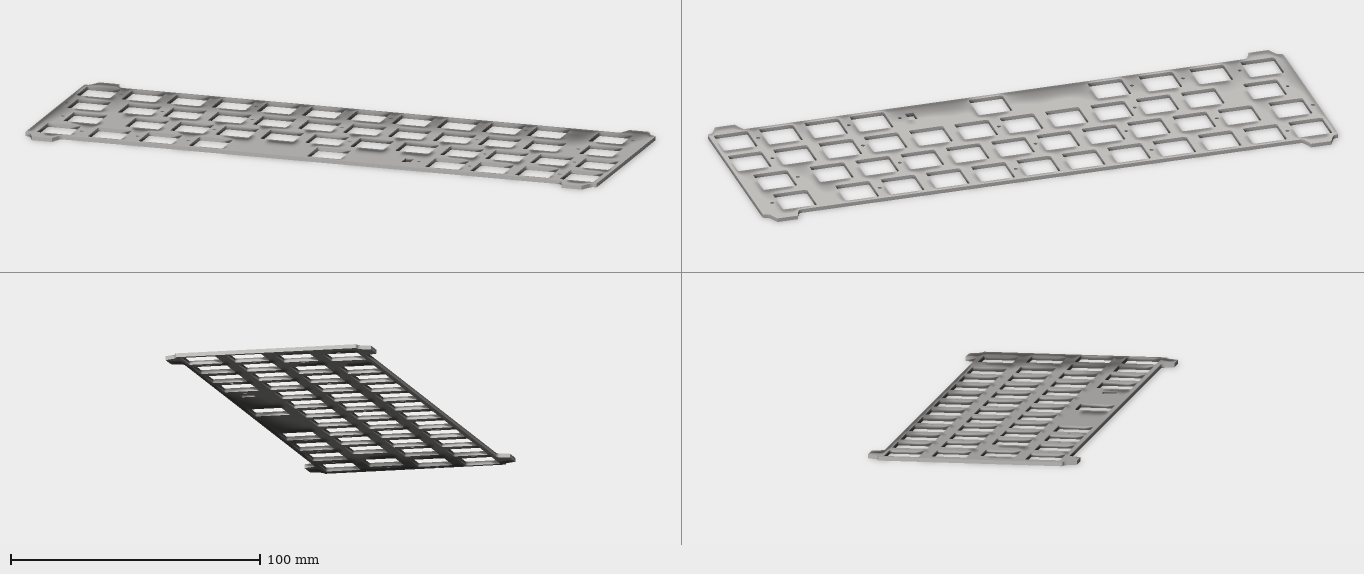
import cadquery as cq

PLATE_LENGTH = 241.8
OVERALL_WIDTH = 85.1
BODY_WIDTH = 75.2
THICKNESS = 1.6
CORNER_RADIUS = 0.7

TAB_TOP_OUTER = 4.5
TAB_TOP_LENGTH = 8.5
TAB_OUTER_FLARE = 2.5
TAB_INNER_FLARE = 2.0
TAB_BASE_RADIUS = 2.0

TEN_KEY_SPAN = 190.3
KEY_PITCH = TEN_KEY_SPAN / 10
STEPS_PER_KEY = 8
GRID_STEP = KEY_PITCH / STEPS_PER_KEY
KEY_CUTOUT = 14.3
KEY_CORNER_RADIUS = 0.7

HOLE_DIAMETER = 1.6

SLOT_LENGTH = 3.6
SLOT_WIDTH = 5.8

ROW_WIDTHS = [
    [STEPS_PER_KEY] * 11 + [14],
    [10] + [STEPS_PER_KEY] * 10 + [12],
    [14] + [STEPS_PER_KEY] * 11,
    [10, STEPS_PER_KEY, 10, STEPS_PER_KEY, 34] + [STEPS_PER_KEY] * 4,
]
ROW_COUNT = len(ROW_WIDTHS)
ROW_LENGTH = sum(ROW_WIDTHS[0])

ROW_HOLES = [
    [8, 32, 56, 80, 99],
    [1, 18, 34, 50, 74, 92],
    [3, 30, 54, 78, 94],
    [9, 19, 28, 69, 78, 94],
]

SLOT_PLACE = 67
SLOT_ROW = ROW_COUNT - 1


def row_point(row, place):
    """Centre point of a place along a row of the key grid."""
    x = (place - ROW_LENGTH / 2) * GRID_STEP
    y = ((ROW_COUNT - 1) / 2 - row) * KEY_PITCH
    return (x, y)


def key_points():
    points = []
    for row, widths in enumerate(ROW_WIDTHS):
        start = 0
        for width in widths:
            points.append(row_point(row, start + width / 2))
            start += width
    return points


def hole_points():
    return [row_point(row, place) for row, places in enumerate(ROW_HOLES) for place in places]


def at_points(points):
    """Middle plane of the plate with a sketch centre at each point."""
    return cq.Workplane("XY").pushPoints(points)


def body():
    """Flat body without its tabs, centred on the origin."""
    return cq.Workplane("XY").box(PLATE_LENGTH, BODY_WIDTH, THICKNESS).edges("|Z").fillet(CORNER_RADIUS)


def tab():
    """Tab at the left end of the back edge, reaching down into the body."""
    top_outer = -PLATE_LENGTH / 2 + TAB_TOP_OUTER
    top_inner = top_outer + TAB_TOP_LENGTH
    base_outer = top_outer - TAB_OUTER_FLARE
    base_inner = top_inner + TAB_INNER_FLARE
    base = BODY_WIDTH / 2
    top = OVERALL_WIDTH / 2
    root = base - CORNER_RADIUS
    outline = [
        (base_outer, root),
        (base_outer, base),
        (top_outer, top),
        (top_inner, top),
        (base_inner, base),
        (base_inner, root),
    ]
    return cq.Workplane("XY").workplane(offset=-THICKNESS / 2).polyline(outline).close().extrude(THICKNESS)


def fillet_tab_bases(plate):
    """Round the inside corners where the tab flanks meet the long edges of the body."""
    margin = 0.2
    reach_x = PLATE_LENGTH / 2 - CORNER_RADIUS - margin
    for edge_y in (-BODY_WIDTH / 2, BODY_WIDTH / 2):
        base_corners = cq.selectors.BoxSelector(
            (-reach_x, edge_y - margin, -THICKNESS),
            (reach_x, edge_y + margin, THICKNESS),
        )
        plate = plate.edges("|Z").edges(base_corners).fillet(TAB_BASE_RADIUS)
    return plate


def blank():
    left_back = tab()
    left_tabs = left_back.union(left_back.mirror("XZ"))
    plate = body().union(left_tabs).union(left_tabs.mirror("YZ"))
    return fillet_tab_bases(plate)


def key_cutouts():
    cutouts = at_points(key_points()).rect(KEY_CUTOUT, KEY_CUTOUT).extrude(THICKNESS, both=True)
    return cutouts.edges("|Z").fillet(KEY_CORNER_RADIUS)


def holes():
    return at_points(hole_points()).circle(HOLE_DIAMETER / 2).extrude(THICKNESS, both=True)


def slot():
    centre = row_point(SLOT_ROW, SLOT_PLACE)
    return at_points([centre]).rect(SLOT_LENGTH, SLOT_WIDTH).extrude(THICKNESS, both=True)


result = blank().cut(key_cutouts()).cut(holes()).cut(slot())